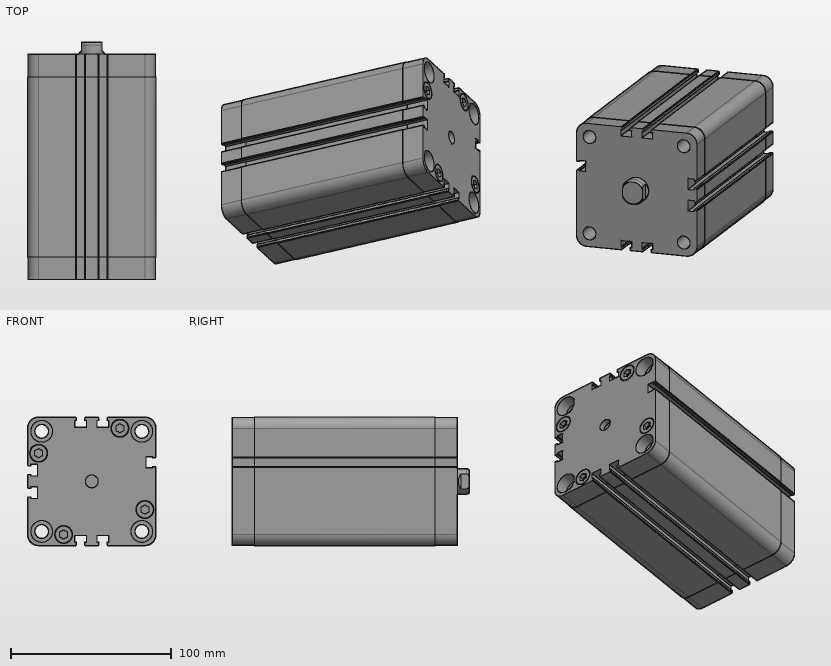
import cadquery as cq
import math

SIDE = 80.0
HALF_SIDE = SIDE / 2
LENGTH = 140.0
CAP_LENGTH = 14.0
CAP_INSET = 0.25
BARREL_CORNER_RADIUS = 7.0
CAP_CORNER_RADIUS = BARREL_CORNER_RADIUS - CAP_INSET

CAP_FLOOR_DEPTH = 6.25
BARREL_FLOOR_DEPTH = CAP_FLOOR_DEPTH + CAP_INSET
LIP_DEPTH = 2.25
LIP_BREAK = 0.5
PAIR_OFFSET = 6.95
PAIR_MOUTH = 5.2
PAIR_WIDTH = 7.1
SINGLE_OFFSET = 11.9
SINGLE_MOUTH = 5.5
SINGLE_WIDTH = 6.7

MOUNT_OFFSET = 31.1
MOUNT_DIAMETER = 8.38
MOUNT_BORE_DIAMETER = 13.5
MOUNT_BORE_DEPTH = 8.5

SCREW_INNER_OFFSET = 17.5
SCREW_OUTER_OFFSET = 33.0
SCREW_BORE_DIAMETER = 11.1
SCREW_HEAD_DIAMETER = 10.5
SCREW_HEAD_HEIGHT = 6.0
SOCKET_FLATS = 5.0
SOCKET_DEPTH = 3.0

CENTER_HOLE_DIAMETER = 8.0
CENTER_HOLE_DEPTH = 4.0

ROD_DIAMETER = 16.0
ROD_PROJECTION = 7.5
ROD_TIP_LENGTH = 1.9
ROD_TIP_DROP = 0.9
ROD_FLATS = 13.0
FLAT_LENGTH = 5.4


def front_plane(y=0.0):
    """Sketch plane at the given Y, with local x along X and local y along Z; it extrudes toward -Y."""
    return cq.Workplane("XZ", origin=(0, y, 0))


def cylinder(diameter, start, end, x=0.0, z=0.0):
    """Cylinder along Y between two Y positions."""
    return front_plane(start).center(x, z).circle(diameter / 2).extrude(start - end)


def rounded_block(half_side, radius, start, end):
    """Square block along Y with rounded long edges."""
    block = front_plane(start).rect(2 * half_side, 2 * half_side).extrude(start - end)
    return block.edges("|Y").fillet(radius)


def make_cap(start, end):
    half_side = HALF_SIDE - CAP_INSET
    cap = rounded_block(half_side, CAP_CORNER_RADIUS, start, end)
    return cut_grooves(cap, half_side, HALF_SIDE - CAP_FLOOR_DEPTH)


def make_barrel(start, end):
    barrel = rounded_block(HALF_SIDE, BARREL_CORNER_RADIUS, start, end)
    return cut_grooves(barrel, HALF_SIDE, HALF_SIDE - BARREL_FLOOR_DEPTH)


def make_body():
    """Grooved barrel between two slightly smaller grooved end caps."""
    barrel_end = LENGTH - CAP_LENGTH
    front_cap = make_cap(0, CAP_LENGTH)
    barrel = make_barrel(CAP_LENGTH, barrel_end)
    rear_cap = make_cap(barrel_end, LENGTH)
    return barrel.union(front_cap).union(rear_cap)


def make_groove(offset, mouth, width, surface, floor):
    """T-slot cutter with chamfered mouth, sunk into the top side from height `surface` to `floor`."""
    lip = HALF_SIDE - LIP_DEPTH
    right_half = [
        (width / 2, floor),
        (width / 2, lip),
        (mouth / 2, lip),
        (mouth / 2, surface - LIP_BREAK),
        (mouth / 2 + LIP_BREAK, surface),
    ]
    left_half = [(-x, z) for x, z in reversed(right_half)]
    outline = [(offset + x, z) for x, z in right_half + left_half]
    return front_plane().polyline(outline).close().extrude(-LENGTH)


def about_axis(shape, angle):
    """Turn a shape about the Y axis."""
    return shape.rotate((0, 0, 0), (0, 1, 0), angle)


def cut_grooves(body, surface, floor):
    """Groove pairs on the top, bottom and -X sides and a single groove on the +X side."""
    for angle in (0, 180, 270):
        for offset in (-PAIR_OFFSET, PAIR_OFFSET):
            groove = make_groove(offset, PAIR_MOUTH, PAIR_WIDTH, surface, floor)
            body = body.cut(about_axis(groove, angle))
    single = make_groove(-SINGLE_OFFSET, SINGLE_MOUTH, SINGLE_WIDTH, surface, floor)
    return body.cut(about_axis(single, 90))


def cut_mounting_holes(body):
    for x in (-MOUNT_OFFSET, MOUNT_OFFSET):
        for z in (-MOUNT_OFFSET, MOUNT_OFFSET):
            body = body.cut(cylinder(MOUNT_DIAMETER, 0, LENGTH, x, z))
            body = body.cut(cylinder(MOUNT_BORE_DIAMETER, 0, MOUNT_BORE_DEPTH, x, z))
    return body


def add_screws(body):
    """Flush screw heads, each standing in a slightly larger counterbore."""
    positions = [
        (SCREW_INNER_OFFSET, SCREW_OUTER_OFFSET),
        (SCREW_OUTER_OFFSET, -SCREW_INNER_OFFSET),
        (-SCREW_INNER_OFFSET, -SCREW_OUTER_OFFSET),
        (-SCREW_OUTER_OFFSET, SCREW_INNER_OFFSET),
    ]
    socket_corners = SOCKET_FLATS / math.cos(math.pi / 6)
    for x, z in positions:
        bore = cylinder(SCREW_BORE_DIAMETER, 0, SCREW_HEAD_HEIGHT, x, z)
        gap = bore.cut(cylinder(SCREW_HEAD_DIAMETER, 0, SCREW_HEAD_HEIGHT, x, z))
        hexagon = front_plane().polygon(6, socket_corners).extrude(-SOCKET_DEPTH)
        socket = about_axis(hexagon, 90).translate((x, 0, z))
        body = body.cut(gap).cut(socket)
    return body


def make_rod():
    """Rod end: rounded tip, two flats across X that run out at 45 degrees toward the rear cap."""
    radius = ROD_DIAMETER / 2
    tip = LENGTH + ROD_PROJECTION
    tip_radius = radius - ROD_TIP_DROP
    rounding_start = tip - ROD_TIP_LENGTH
    profile = cq.Workplane("XY").moveTo(0, LENGTH - CAP_LENGTH).lineTo(radius, LENGTH - CAP_LENGTH)
    profile = profile.lineTo(radius, rounding_start)
    profile = profile.tangentArcPoint((tip_radius, tip), relative=False)
    profile = profile.lineTo(0, tip).close()
    rod = profile.revolve(360, (0, 0, 0), (0, 1, 0))
    flat_x = ROD_FLATS / 2
    flat_start = tip - FLAT_LENGTH
    run_out = radius - flat_x
    flat_outline = [
        (flat_x, tip),
        (flat_x, flat_start),
        (radius, flat_start - run_out),
        (radius, tip),
    ]
    cutter = cq.Workplane("XY").polyline(flat_outline).close().extrude(radius, both=True)
    return rod.cut(cutter).cut(cutter.mirror("YZ"))


body = cut_mounting_holes(make_body())
body = add_screws(body)
body = body.cut(cylinder(CENTER_HOLE_DIAMETER, 0, CENTER_HOLE_DEPTH))
result = body.union(make_rod())